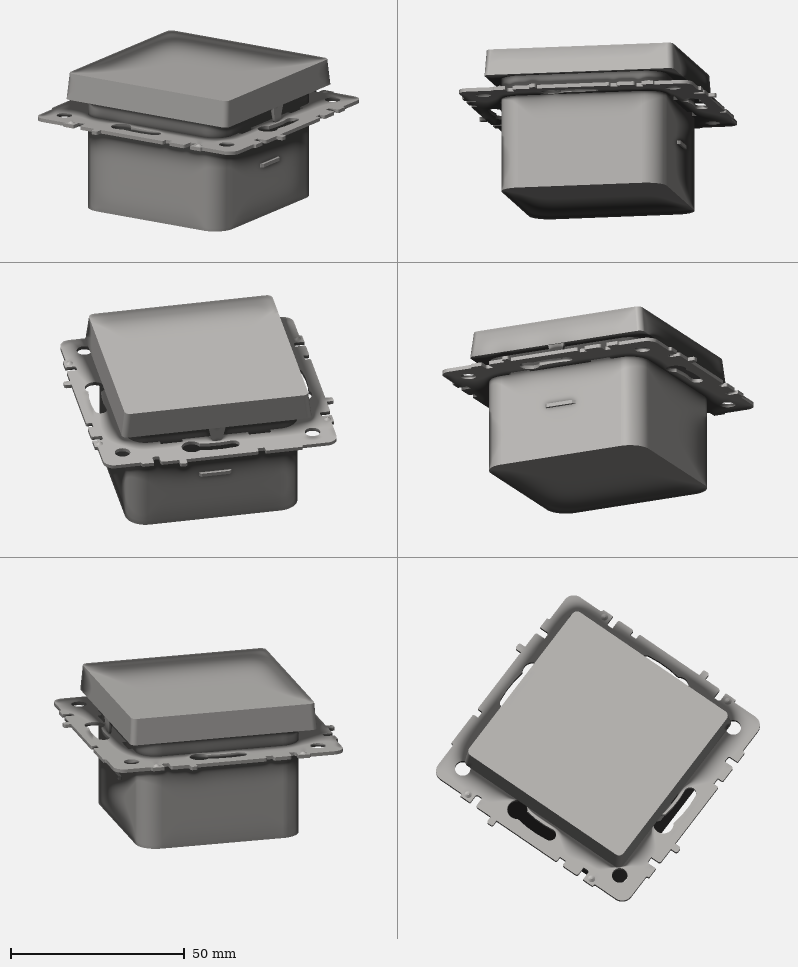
import cadquery as cq
import math

plate_bottom = 26.9
plate_top = 28.0
housing_top = 32.8
overall_height = 40.5

housing_x = 48.6
housing_y = 50.6
housing_corner_radius = 6.0

rib_length = 9.5
rib_projection = 0.9
rib_bottom = 14.95
rib_thickness = 1.05
rib_end_chamfer = 0.7

tab_tip = 37.2
plate_half = 35.1
corner_half = 34.3
corner_radius = 3.2
side_step = 23.5
step_fillet = 0.5

tab_offset = 11.7
tab_width = 2.1
tab_fillet = 0.6
notch_depth = 1.7
notch_mouth_fillet = 0.45

slit_offset = 19.05
slit_width = 2.0
slit_depth = 3.1
slit_fillet = 0.7

corner_hole_position = 27.9
corner_hole_radius = 2.2
keyhole_path_radius = 29.9
keyhole_slot_width = 3.6
keyhole_head_radius = 2.9
keyhole_head_angle = 15.1
keyhole_tail_angle = 8.3
window_offset = 12.95
window_length = 6.55
window_depth = 1.35

rivet_x = 21.95
rivet_y = 33.5
rivet_radius = 1.05
rivet_tip_radius = 0.3
rivet_height = 0.45

cap_bottom_size = 55.8
cap_top_x = 54.8
cap_top_y = 53.95
cap_corner_radius = 1.6

claw_outer = 27.5
claw_thickness = 1.2
claw_tip_outer = 27.15
claw_tip_thickness = 0.6
claw_width = 5.0
claw_tip_width = 3.0
claw_tip_fillet = 0.9

plate_thickness = plate_top - plate_bottom
plate_middle = (plate_top + plate_bottom) / 2


def plate_block(length_x, length_y, x, y):
    """Block as thick as the plate, centred at x, y."""
    block = cq.Workplane("XY").box(length_x, length_y, plate_thickness, centered=(True, True, False))
    return block.translate((x, y, plate_bottom))


def turned(shape, angle):
    """Shape turned about the vertical axis of the part."""
    return shape.rotate((0, 0, 0), (0, 0, 1), angle)


def plate_blank():
    """Cross of two wide rectangles over a smaller square with round corners."""
    square = plate_block(2 * corner_half, 2 * corner_half, 0, 0).edges("|Z").fillet(corner_radius)
    wide_x = plate_block(2 * plate_half, 2 * side_step, 0, 0)
    wide_y = plate_block(2 * side_step, 2 * plate_half, 0, 0)
    blank = square.union(wide_x).union(wide_y)
    for sx in (-1, 1):
        for sy in (-1, 1):
            for x, y in ((side_step, corner_half), (corner_half, side_step)):
                corner = cq.selectors.NearestToPointSelector((sx * x, sy * y, plate_middle))
                blank = blank.edges("|Z").edges(corner).fillet(step_fillet)
    return blank


def locating_tab():
    """Tab on the +Y edge, rounded at its tip."""
    tab = plate_block(tab_width, tab_tip - corner_half, tab_offset, (tab_tip + corner_half) / 2)
    return tab.edges("|Z and >Y").fillet(tab_fillet)


def locating_notch():
    """Cutter for the square notch in the +Y edge, its mouth corners rounded."""
    left = -tab_offset - tab_width / 2
    right = -tab_offset + tab_width / 2
    mouth = notch_mouth_fillet
    return (
        cq.Workplane("XY", origin=(0, 0, plate_bottom))
        .moveTo(left, plate_half - notch_depth)
        .lineTo(right, plate_half - notch_depth)
        .lineTo(right, plate_half - mouth)
        .radiusArc((right + mouth, plate_half), mouth)
        .lineTo(left - mouth, plate_half)
        .radiusArc((left, plate_half - mouth), mouth)
        .close()
        .extrude(plate_thickness)
    )


def slit():
    """Cutter for a slit in the +Y edge: its outer bottom corner and inner mouth corner are round."""
    inner = slit_offset - slit_width / 2
    outer = slit_offset + slit_width / 2
    end = plate_half - slit_depth
    return (
        cq.Workplane("XY", origin=(0, 0, plate_bottom))
        .moveTo(inner, end)
        .lineTo(outer - slit_fillet, end)
        .radiusArc((outer, end + slit_fillet), -slit_fillet)
        .lineTo(outer, plate_half)
        .lineTo(inner - slit_fillet, plate_half)
        .radiusArc((inner, plate_half - slit_fillet), slit_fillet)
        .close()
        .extrude(plate_thickness)
    )


def on_path(radius, angle):
    """Point on a circle about the plate centre, its angle measured from +Y toward +X."""
    return radius * math.sin(math.radians(angle)), radius * math.cos(math.radians(angle))


def keyhole():
    """Cutter for the curved keyhole near the +Y edge, with its round head toward +X."""
    inner = keyhole_path_radius - keyhole_slot_width / 2
    outer = keyhole_path_radius + keyhole_slot_width / 2
    head_centre = on_path(keyhole_path_radius, keyhole_head_angle)
    tail_centre = on_path(keyhole_path_radius, -keyhole_tail_angle)
    base = cq.Workplane("XY", origin=(0, 0, plate_bottom))
    head = base.center(*head_centre).circle(keyhole_head_radius).extrude(plate_thickness)
    tail = base.center(*tail_centre).circle(keyhole_slot_width / 2).extrude(plate_thickness)
    band = (
        base.moveTo(*on_path(inner, -keyhole_tail_angle))
        .lineTo(*on_path(outer, -keyhole_tail_angle))
        .threePointArc(on_path(outer, 0), on_path(outer, keyhole_head_angle))
        .lineTo(*on_path(inner, keyhole_head_angle))
        .threePointArc(on_path(inner, 0), on_path(inner, -keyhole_tail_angle))
        .close()
        .extrude(plate_thickness)
    )
    return band.union(head).union(tail)


def rivets():
    """Four low rivet heads standing on the plate: cones with a flat tip."""
    head = (
        cq.Workplane("XZ")
        .polyline([(0, 0), (rivet_radius, 0), (rivet_tip_radius, rivet_height), (0, rivet_height)])
        .close()
        .revolve(360, (0, 0, 0), (0, 1, 0))
    )
    return [
        head.translate((sx * rivet_x, sy * rivet_y, plate_top))
        for sx in (-1, 1)
        for sy in (-1, 1)
    ]


def mounting_plate():
    """Plate with its tabs, notches, slits, holes and rivet heads."""
    plate = plate_blank()
    for angle in (0, 90, 180, 270):
        plate = plate.union(turned(locating_tab(), angle))
        plate = plate.cut(turned(locating_notch(), angle))
        plate = plate.cut(turned(keyhole(), angle))

    right_slit = slit()
    left_slit = right_slit.mirror("YZ")
    for angle in (0, 90, 180, 270):
        plate = plate.cut(turned(right_slit, angle))
    for angle in (0, 180, 270):
        plate = plate.cut(turned(left_slit, angle))

    corner_holes = (
        cq.Workplane("XY", origin=(0, 0, plate_bottom))
        .rect(2 * corner_hole_position, 2 * corner_hole_position, forConstruction=True)
        .vertices()
        .circle(corner_hole_radius)
        .extrude(plate_thickness)
    )
    plate = plate.cut(corner_holes)

    window_x = housing_x / 2 + window_depth / 2
    for sx in (-1, 1):
        for sy in (-1, 1):
            plate = plate.cut(plate_block(window_depth, window_length, sx * window_x, sy * window_offset))

    for rivet in rivets():
        plate = plate.union(rivet)
    return plate


def housing():
    """Box with round upright corners and a low rib on both X walls."""
    box = cq.Workplane("XY").box(housing_x, housing_y, housing_top, centered=(True, True, False))
    box = box.edges("|Z").fillet(housing_corner_radius)
    rib = (
        cq.Workplane("XY")
        .box(housing_x + 2 * rib_projection, rib_length, rib_thickness, centered=(True, True, False))
        .edges("|Z")
        .chamfer(rib_end_chamfer)
        .translate((0, 0, rib_bottom))
    )
    return box.union(rib)


def make_base():
    """Housing and mounting plate as one body."""
    return mounting_plate().union(housing())


def rounded_rectangle(length_x, length_y):
    return cq.Sketch().rect(length_x, length_y).vertices().fillet(cap_corner_radius)


def claw():
    """Tapered claw under the +X side of the cap, resting on the plate."""
    side_profile = (
        cq.Workplane("XZ")
        .polyline(
            [
                (claw_outer, housing_top),
                (claw_tip_outer, plate_top),
                (claw_tip_outer - claw_tip_thickness, plate_top),
                (claw_outer - claw_thickness, housing_top),
            ]
        )
        .close()
        .extrude(claw_width / 2, both=True)
    )
    face_profile = (
        cq.Workplane("YZ")
        .polyline(
            [
                (-claw_width / 2, housing_top),
                (-claw_tip_width / 2, plate_top),
                (claw_tip_width / 2, plate_top),
                (claw_width / 2, housing_top),
            ]
        )
        .close()
        .extrude(claw_outer)
        .edges("|X and <Z")
        .fillet(claw_tip_fillet)
    )
    return side_profile.intersect(face_profile)


def make_cap():
    """Tapered cap on top of the housing, with a claw under each X side."""
    cap_height = overall_height - housing_top
    block = (
        cq.Workplane("XY", origin=(0, 0, housing_top))
        .placeSketch(
            rounded_rectangle(cap_bottom_size, cap_bottom_size),
            rounded_rectangle(cap_top_x, cap_top_y).moved(cq.Location(cq.Vector(0, 0, cap_height))),
        )
        .loft(ruled=True)
    )
    plus_x_claw = claw()
    return block.union(plus_x_claw).union(plus_x_claw.mirror("YZ"))


base = make_base()
cap = make_cap()
result = cq.Compound.makeCompound([base.val(), cap.val()])